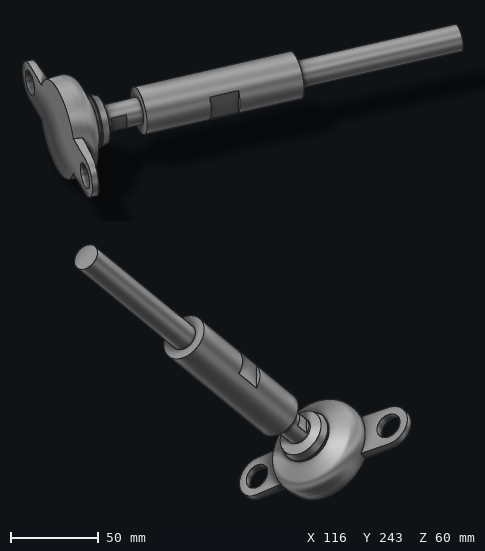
import cadquery as cq
import math


total_length = 243.0
total_width = 116.0

underside_radius = 29.2
foot_radius = 60.0 / 2
taper_height = 6.0
rim_height = 9.0
shoulder_height = 15.5
shoulder_radius = 25.5
neck_radius = 15.0
neck_bottom = 20.0
neck_top = 21.5
lip_radius = 15.5
lip_top = 22.0
collar_radius = 14.0
collar_top = 26.7
spindle_start = 28.7

ear_radius = 12.6
ear_hole_diameter = 15.0
ear_offset = total_width / 2 - ear_radius
ear_root_thickness = 5.3
ear_tip_thickness = 4.0

spindle_diameter = 16.0
spindle_radius = spindle_diameter / 2
spindle_flat_width = 13.1
spindle_flat_start = 30.1
spindle_flat_length = 9.2

sleeve_diameter = 28.0
sleeve_length = 95.0
sleeve_start = 49.3
sleeve_flat_width = 23.0
sleeve_flat_length = 17.5
sleeve_flat_start = sleeve_start + (sleeve_length - sleeve_flat_length) / 2


def rod(diameter, start, length):
    """Round bar along Y."""
    plane = cq.Plane(origin=(0, start, 0), xDir=(1, 0, 0), normal=(0, 1, 0))
    return cq.Workplane(plane).circle(diameter / 2).extrude(length)


def cut_wrench_flats(bar, diameter, flat_width, start, length):
    """Cut two parallel flats on the -X and +X sides of a bar."""
    flat_depth = (diameter - flat_width) / 2
    for side in (-1, 1):
        cutter = cq.Workplane("XY").box(flat_depth, length, diameter)
        cutter = cutter.translate((side * (flat_width + flat_depth) / 2, start + length / 2, 0))
        bar = bar.cut(cutter)
    return bar


def make_foot_disc():
    """Turned foot with a rounded shoulder and a collar around the spindle root."""
    radial_drop = foot_radius - shoulder_radius
    rise = shoulder_height - rim_height
    round_radius = (radial_drop**2 + rise**2) / (2 * radial_drop)
    half_angle = math.atan2(rise, round_radius - radial_drop) / 2
    shoulder_middle = (
        foot_radius - round_radius * (1 - math.cos(half_angle)),
        rim_height + round_radius * math.sin(half_angle),
    )
    return (
        cq.Workplane("XY")
        .moveTo(0, 0)
        .lineTo(underside_radius, 0)
        .lineTo(foot_radius, taper_height)
        .lineTo(foot_radius, rim_height)
        .threePointArc(shoulder_middle, (shoulder_radius, shoulder_height))
        .lineTo(neck_radius, neck_bottom)
        .lineTo(neck_radius, neck_top)
        .lineTo(lip_radius, neck_top)
        .lineTo(lip_radius, lip_top)
        .lineTo(collar_radius, collar_top)
        .lineTo(spindle_radius, spindle_start)
        .lineTo(0, spindle_start)
        .close()
        .revolve(360, (0, 0, 0), (0, 1, 0))
    )


def make_ears():
    """Pair of rounded ears whose upper faces slope down to the tips."""
    ear_tip = total_width / 2
    plan = (
        cq.Workplane("XZ")
        .slot2D(total_width, 2 * ear_radius)
        .pushPoints([(-ear_offset, 0), (ear_offset, 0)])
        .circle(ear_hole_diameter / 2)
        .extrude(-ear_root_thickness)
    )
    side_profile = (
        cq.Workplane("XY")
        .polyline([
            (-ear_tip, 0),
            (ear_tip, 0),
            (ear_tip, ear_tip_thickness),
            (foot_radius, ear_root_thickness),
            (-foot_radius, ear_root_thickness),
            (-ear_tip, ear_tip_thickness),
        ])
        .close()
        .extrude(ear_radius, both=True)
    )
    return plan.intersect(side_profile)


def make_foot_with_spindle():
    spindle = rod(spindle_diameter, spindle_start, total_length - spindle_start)
    spindle = cut_wrench_flats(
        spindle, spindle_diameter, spindle_flat_width, spindle_flat_start, spindle_flat_length
    )
    return make_foot_disc().union(make_ears()).union(spindle)


def make_sleeve():
    """Tube around the spindle, with wrench flats at mid-length."""
    sleeve = rod(sleeve_diameter, sleeve_start, sleeve_length)
    sleeve = sleeve.cut(rod(spindle_diameter, sleeve_start, sleeve_length))
    return cut_wrench_flats(
        sleeve, sleeve_diameter, sleeve_flat_width, sleeve_flat_start, sleeve_flat_length
    )


foot_with_spindle = make_foot_with_spindle()
sleeve = make_sleeve()

result = cq.Compound.makeCompound([*foot_with_spindle.solids().vals(), *sleeve.solids().vals()])